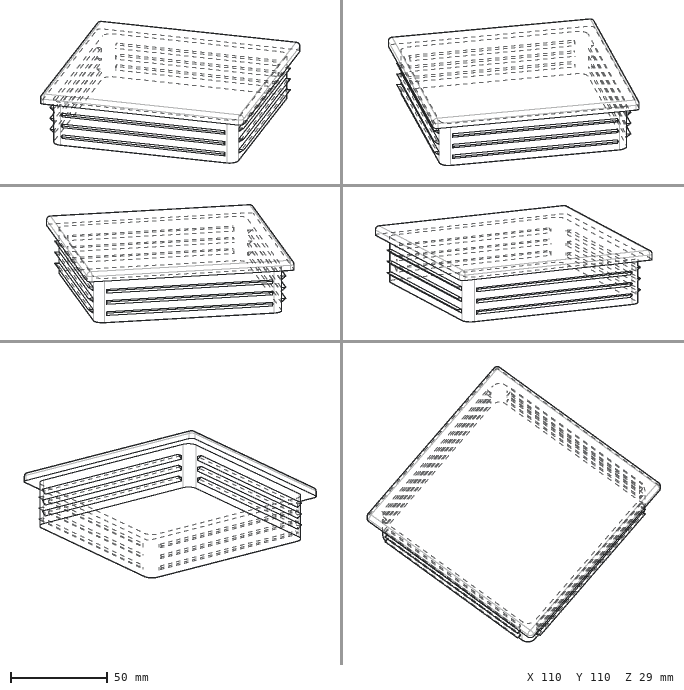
import cadquery as cq

plate_side = 110.0
plate_thickness = 5.0
plate_corner_radius = 2.2
plate_edge_radius = 2.1

total_height = 29.0
plug_side = 100.0
plug_corner_radius = 5.0
plug_height = total_height - plate_thickness

rib_count = 3
rib_pitch = 6.0
rib_top_drop = 11.0
rib_height = 2.0
rib_reach = 2.5
rib_end_gap = 1.0
rib_root = 0.5
rib_length = plug_side - 2 * (plug_corner_radius + rib_end_gap)


def make_plate():
    """Square cover with rounded corners and a rounded top edge."""
    plate = cq.Workplane("XY").workplane(offset=plug_height)
    plate = plate.rect(plate_side, plate_side).extrude(plate_thickness)
    plate = plate.edges("|Z").fillet(plate_corner_radius)
    return plate.faces(">Z").edges().fillet(plate_edge_radius)


def make_plug():
    """Square plug with rounded vertical corners."""
    plug = cq.Workplane("XY").rect(plug_side, plug_side).extrude(plug_height)
    return plug.edges("|Z").fillet(plug_corner_radius)


def make_rib(top_z):
    """Rib on the +X wall: flat on top, with a sloping underside."""
    wall = plug_side / 2
    outline = [
        (wall - rib_root, top_z),
        (wall + rib_reach, top_z),
        (wall, top_z - rib_height),
        (wall - rib_root, top_z - rib_height),
    ]
    return cq.Workplane("XZ").polyline(outline).close().extrude(rib_length / 2, both=True)


result = make_plug().union(make_plate())
for level in range(rib_count):
    rib = make_rib(total_height - rib_top_drop - level * rib_pitch)
    for wall_angle in (0, 90, 180, 270):
        result = result.union(rib.rotate((0, 0, 0), (0, 0, 1), wall_angle))